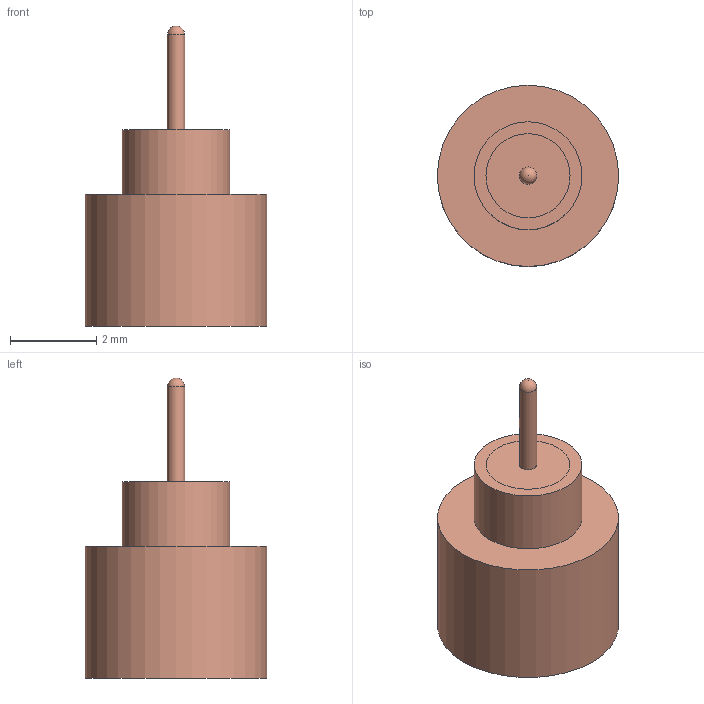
import cadquery as cq

total_height = 6.95

body_diameter = 4.2
body_height = 3.05
neck_diameter = 2.5
neck_height = 1.5

bead_diameter = 1.95

pin_diameter = 0.4
pin_radius = pin_diameter / 2

neck_top = body_height + neck_height
pin_shoulder = total_height - pin_radius


def make_cylinder(diameter, bottom, top):
    """Cylinder on the Z axis between two heights."""
    return cq.Workplane("XY").workplane(offset=bottom).circle(diameter / 2).extrude(top - bottom)


def make_neck():
    """Neck sleeve filled by a flush bead, keeping the round joint line between them."""
    bead = make_cylinder(bead_diameter, body_height, neck_top)
    sleeve = make_cylinder(neck_diameter, body_height, neck_top).cut(bead)
    return sleeve.union(bead, clean=False)


def make_pin():
    """Pin rising from the neck, rounded at its free end."""
    shank = make_cylinder(pin_diameter, neck_top, pin_shoulder)
    tip = cq.Workplane("XY").sphere(pin_radius).translate((0, 0, pin_shoulder))
    return shank.union(tip)


body = make_cylinder(body_diameter, 0, body_height)
result = body.union(make_neck(), clean=False).union(make_pin(), clean=False)